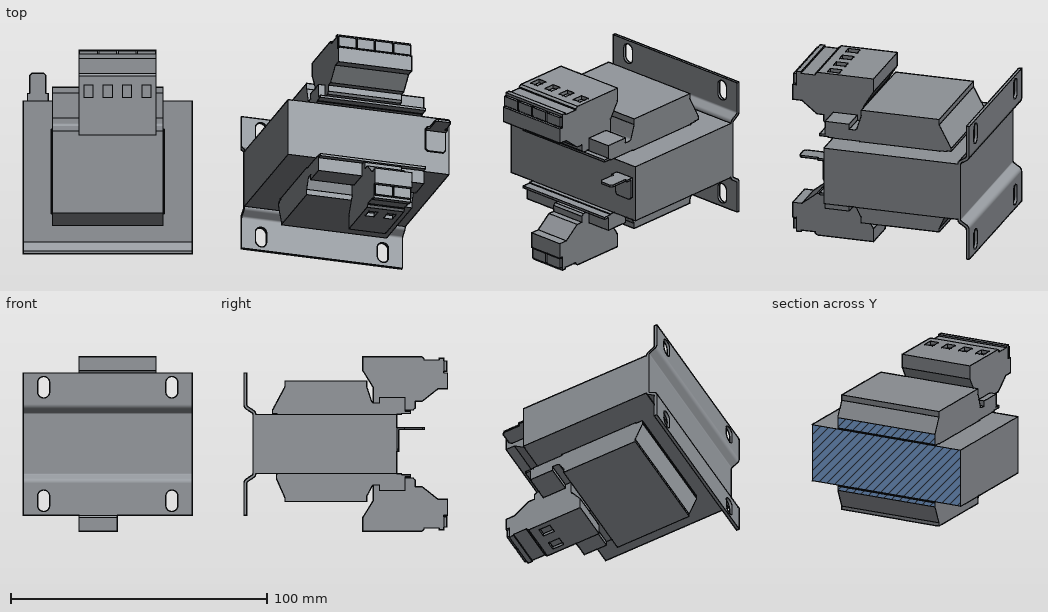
import cadquery as cq
import math


sheet = 1.2
web_front_y = 3.5
web_back_y = web_front_y + sheet
foot_end_z = 27.8
foot_bend_z = 15.4
web_bend_radius = 0.6
foot_bend_radius = 1.0
bend_angle = math.radians(60)
slot_width = 4.6
slot_length = 8.3
slot_x = 25.0
slot_z = 22.15

core_width = 66.0
core_depth = 55.0
stack = 23.2
core_top_z = stack / 2
core_back_y = web_back_y + core_depth
limb = core_width / 6
window_depth = core_width / 2
window_back_y = core_back_y - limb
window_front_y = window_back_y - window_depth

coil_width = 43.2
coil_rear_y = 48.05
coil_front_y = 16.05
skirt_gap = 0.3
flange_back_y = 65.1
flange_top_z = 12.8
flange_seat_y = 61.6
rail_back_y = 62.9
rail_front_y = 53.0
rail_top_z = 18.2
groove_floor_z = 16.05
groove_floor_front_y = 50.9
groove_curve_mid = (50.15, 16.35)
groove_curve_end = (49.75, 17.0)
front_seat_y = 12.9

block_left_x = -11.25
block_width = 15.05
poles_per_block = 2
pole_pitch = block_width / poles_per_block
overall_depth = 79.55
overall_height = 68.2
block_top_z = overall_height / 2
block_front_y = 46.4
block_front_low_z = 28.65
block_foot_y = 50.5
block_foot_top_z = 22.05
hook_low_z = 13.2
hook_back_y = 66.9
hook_top_z = 16.65
hook_chamfer = 0.9
ramp_low_y = 69.6
ramp_high_y = 75.8
entry_low_z = 21.55
entry_high_z = 27.8
rim_top_z = 33.5
rim_front_y = 76.2
recess_z = 32.85
recess_front_y = 70.4
top_bevel_y = 69.4
top_bevel_z = 33.3
button_width = 6.9
button_back_y = 79.25
button_front_y = 78.1
button_low_z = 28.3
button_high_z = 32.4
pocket_width = 3.6
pocket_length = 4.8
pocket_depth = 1.5
pocket_y = 63.5

tab_x = -27.3
tab_base_width = 8.2
tab_blade_width = 6.3
tab_thickness = 0.8
tab_top_z = 6.4
tab_bottom_z = -2.9
tab_shoulder_y = 62.7
tab_tip_y = 70.6
tab_chamfer = 0.9


def box(x_range, y_range, z_range):
    """Axis-aligned box from its limits along X, Y and Z."""
    size = [high - low for low, high in (x_range, y_range, z_range)]
    corner = (x_range[0], y_range[0], z_range[0])
    return cq.Workplane("XY").box(*size, centered=False).translate(corner)


def mirrored_in_z(body):
    return body.mirror("XY")


def make_core():
    """Laminations with the two winding windows cut through the stack."""
    core = box((-core_width / 2, core_width / 2), (web_back_y, core_back_y), (-core_top_z, core_top_z))
    window = box((limb, 2 * limb), (window_front_y, window_back_y), (-core_top_z, core_top_z))
    return core.cut(window).cut(window.mirror("YZ"))


def make_window_winding():
    """Coil sides that run through the windows, short of the outer limbs."""
    return box((-coil_width / 2, coil_width / 2), (window_front_y, window_back_y), (-core_top_z, core_top_z))


def make_coil_cap(top_z, rear_slope_z, front_slope_z, skirt_y, skirt_z):
    """Coil body above the core: winding cover, groove, terminal rail and rear flange."""
    skirt_base_z = core_top_z + skirt_gap
    return (
        cq.Workplane("YZ")
        .moveTo(front_seat_y, core_top_z)
        .lineTo(front_seat_y, skirt_base_z)
        .lineTo(skirt_y, skirt_base_z)
        .lineTo(skirt_y, skirt_z)
        .lineTo(coil_front_y, front_slope_z)
        .lineTo(coil_front_y, top_z)
        .lineTo(coil_rear_y, top_z)
        .lineTo(coil_rear_y, rear_slope_z)
        .lineTo(*groove_curve_end)
        .threePointArc(groove_curve_mid, (groove_floor_front_y, groove_floor_z))
        .lineTo(rail_front_y, groove_floor_z)
        .lineTo(rail_front_y, rail_top_z)
        .lineTo(rail_back_y, rail_top_z)
        .lineTo(rail_back_y, flange_top_z)
        .lineTo(flange_back_y, flange_top_z)
        .lineTo(flange_back_y, skirt_base_z)
        .lineTo(flange_seat_y, skirt_base_z)
        .lineTo(flange_seat_y, core_top_z)
        .close()
        .extrude(coil_width / 2, both=True)
    )


def make_bracket_leg():
    """Upper bent leg and foot of the bracket, with its two mounting slots."""
    web_centre = (web_front_y - web_bend_radius, core_top_z)
    foot_centre = (sheet + foot_bend_radius, foot_bend_z)

    def web_bend(radius, angle):
        return (web_centre[0] + radius * math.cos(angle), web_centre[1] + radius * math.sin(angle))

    def foot_bend(radius, angle):
        return (foot_centre[0] - radius * math.cos(angle), foot_centre[1] - radius * math.sin(angle))

    web_outside = web_bend_radius + sheet
    foot_outside = foot_bend_radius + sheet
    leg = (
        cq.Workplane("YZ")
        .moveTo(web_front_y, 0)
        .lineTo(web_front_y, core_top_z)
        .threePointArc(web_bend(web_bend_radius, bend_angle / 2), web_bend(web_bend_radius, bend_angle))
        .lineTo(*foot_bend(foot_outside, bend_angle))
        .threePointArc(foot_bend(foot_outside, bend_angle / 2), (0, foot_bend_z))
        .lineTo(0, foot_end_z)
        .lineTo(sheet, foot_end_z)
        .lineTo(sheet, foot_bend_z)
        .threePointArc(foot_bend(foot_bend_radius, bend_angle / 2), foot_bend(foot_bend_radius, bend_angle))
        .lineTo(*web_bend(web_outside, bend_angle))
        .threePointArc(web_bend(web_outside, bend_angle / 2), (web_back_y, core_top_z))
        .lineTo(web_back_y, 0)
        .close()
        .extrude(core_width / 2, both=True)
    )
    slots = (
        cq.Workplane("XZ")
        .pushPoints([(-slot_x, slot_z), (slot_x, slot_z)])
        .slot2D(slot_length, slot_width, 90)
        .extrude(sheet, both=True)
    )
    return leg.cut(slots)


def make_terminal_block(left_x):
    """Terminal block clipped over the rail on the upper coil face."""
    outline = [
        (block_front_y, block_top_z),
        (block_front_y, block_front_low_z),
        (block_foot_y, block_foot_top_z),
        (block_foot_y, groove_floor_z),
        (rail_front_y, groove_floor_z),
        (rail_front_y, rail_top_z),
        (rail_back_y, rail_top_z),
        (rail_back_y, hook_low_z),
        (hook_back_y - hook_chamfer, hook_low_z),
        (hook_back_y, hook_low_z + hook_chamfer),
        (hook_back_y, hook_top_z),
        (ramp_low_y, hook_top_z),
        (ramp_high_y, entry_low_z),
        (overall_depth, entry_low_z),
        (overall_depth, entry_high_z),
        (button_front_y, entry_high_z),
        (button_front_y, rim_top_z),
        (rim_front_y, rim_top_z),
        (rim_front_y, recess_z),
        (recess_front_y, recess_z),
        (recess_front_y, top_bevel_z),
        (top_bevel_y, block_top_z),
    ]
    block = (
        cq.Workplane("YZ", origin=(left_x, 0, 0))
        .polyline(outline)
        .close()
        .extrude(block_width)
    )
    pocket_y_range = (pocket_y - pocket_length / 2, pocket_y + pocket_length / 2)
    for pole in range(poles_per_block):
        pole_x = left_x + (pole + 0.5) * pole_pitch
        button_x_range = (pole_x - button_width / 2, pole_x + button_width / 2)
        pocket_x_range = (pole_x - pocket_width / 2, pole_x + pocket_width / 2)
        button = box(button_x_range, (button_front_y, button_back_y), (button_low_z, button_high_z))
        pocket = box(pocket_x_range, pocket_y_range, (block_top_z - pocket_depth, block_top_z))
        block = block.union(button).cut(pocket)
    return block


def make_earth_tab():
    """L-shaped push-on tab standing off the rear face of the core."""
    base_limits = (tab_x - tab_base_width / 2, tab_x + tab_base_width / 2)
    blade_limits = (tab_x - tab_blade_width / 2, tab_x + tab_blade_width / 2)
    blade_z = (tab_top_z - tab_thickness, tab_top_z)
    plate = box(base_limits, (core_back_y, core_back_y + tab_thickness), (tab_bottom_z, tab_top_z))
    plate = plate.edges("|Y and <Z").chamfer(tab_chamfer)
    shoulder = box(base_limits, (core_back_y, tab_shoulder_y), blade_z)
    blade = box(blade_limits, (core_back_y, tab_tip_y), blade_z)
    blade = blade.edges("|Z and >Y").chamfer(tab_chamfer)
    return plate.union(shoulder).union(blade)


upper_cap = make_coil_cap(top_z=24.65, rear_slope_z=22.2, front_slope_z=22.4, skirt_y=11.1, skirt_z=13.1)
lower_cap = make_coil_cap(top_z=22.5, rear_slope_z=20.3, front_slope_z=21.1, skirt_y=12.7, skirt_z=13.5)
bracket_leg = make_bracket_leg()
left_block = make_terminal_block(block_left_x)
right_block = make_terminal_block(block_left_x + block_width)

bodies = [
    make_window_winding(),
    upper_cap,
    mirrored_in_z(lower_cap),
    bracket_leg,
    mirrored_in_z(bracket_leg),
    left_block,
    right_block,
    mirrored_in_z(left_block),
    make_earth_tab(),
]
result = make_core()
for body in bodies:
    result = result.union(body)